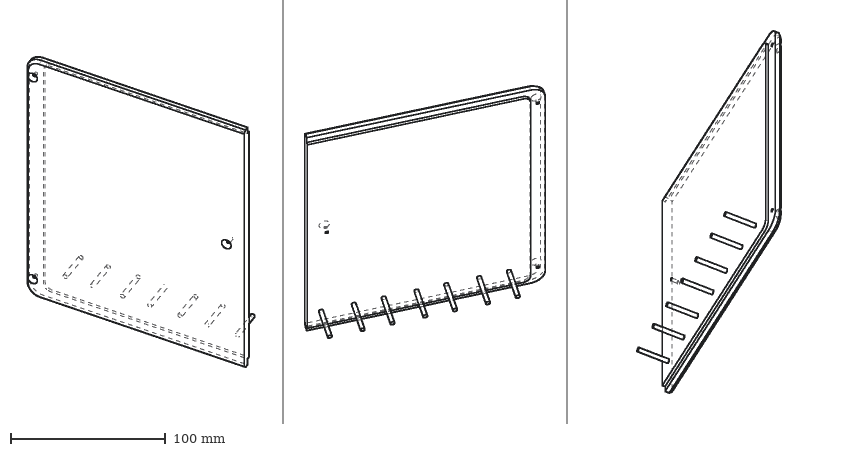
import cadquery as cq

width = 160.0
height = 200.0
plate_thickness = 5.0
corner_radius = 10.0
front_chamfer = 2.0

panel_thickness = 2.0
panel_side_inset = 10.5
panel_end_inset = 5.0
panel_radius = corner_radius - panel_end_inset
back_face = plate_thickness + panel_thickness

hole_diameter = 2.0
countersink_diameter = 7.0
countersink_angle = 90
hole_edge_distance = 5.0
hole_end_distance = 15.0
right_hole_x = 147.0
hole_positions = [
    (hole_edge_distance, hole_end_distance),
    (hole_edge_distance, height - hole_end_distance),
    (right_hole_x, height / 2),
]

pin_diameter = 3.0
pin_length = 22.0
pin_count = 7
pin_z = 20.0
first_pin_x = 25.0
short_gap = 20.0
long_gap = 22.0


def left_rounded_slab(left, end_inset, front, thickness, radius):
    """Slab reaching the right edge, with its two left corners rounded."""
    return (
        cq.Workplane("XY")
        .box(width - left, thickness, height - 2 * end_inset, centered=False)
        .translate((left, front, end_inset))
        .edges("|Y and <X")
        .fillet(radius)
    )


def make_plate():
    plate = left_rounded_slab(0, 0, 0, plate_thickness, corner_radius)
    return plate.faces("<Y").edges("not >X").chamfer(front_chamfer)


def make_pins():
    positions = []
    x = first_pin_x
    for index in range(pin_count):
        positions.append((x, pin_z))
        x += short_gap if index % 2 == 0 else long_gap
    return (
        cq.Workplane("XZ", origin=(0, back_face, 0))
        .pushPoints(positions)
        .circle(pin_diameter / 2)
        .extrude(-pin_length)
    )


panel = left_rounded_slab(
    panel_side_inset, panel_end_inset, plate_thickness, panel_thickness, panel_radius
)
body = make_plate().union(panel)
body = (
    body.copyWorkplane(cq.Workplane("XZ"))
    .pushPoints(hole_positions)
    .cskHole(hole_diameter, countersink_diameter, countersink_angle)
)
result = body.union(make_pins())